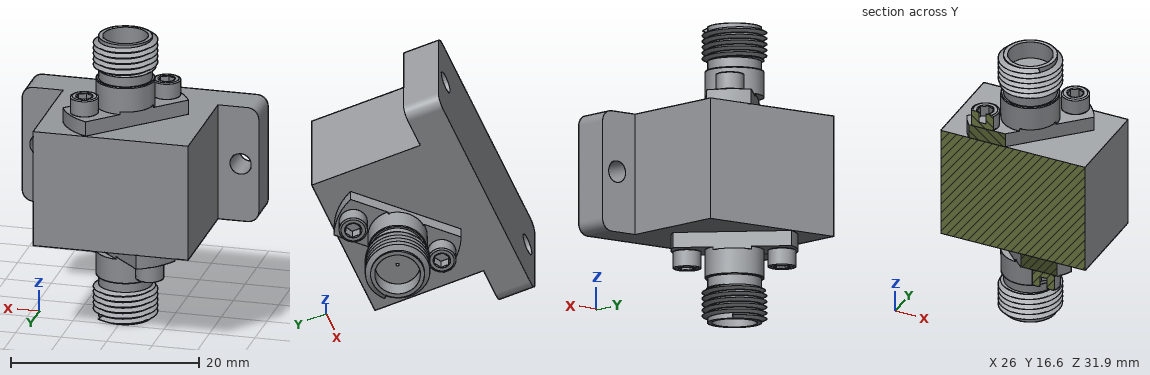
import cadquery as cq
import math

plate_width = 26.0
plate_thickness = 4.02
body_height = 13.0
corner_radius = 1.25
block_width = 17.05
body_depth = 16.6
block_depth = body_depth - plate_thickness
mount_hole_diameter = 2.33
mount_hole_spacing = 22.0

total_height = 31.9
flange_width = 4.8
flange_end_radius = 6.75
flange_thickness = 1.63
flange_angle = 45.0
collar_radius = 3.15
collar_height = 3.05
collar_flat_height = 0.3
collar_chamfer = 0.1
barrel_radius = 2.87
bore_radius = 2.42
bore_depth = 2.0
contact_hole_radius = 0.15
contact_hole_depth = 0.95

flange_bottom = body_height / 2
flange_top = flange_bottom + flange_thickness
collar_top = flange_top + collar_height
barrel_top = total_height / 2

crest_radius = 3.45
thread_turns = 6
thread_helix_height = 3.75
thread_pitch = thread_helix_height / thread_turns
thread_zone_length = 3.7
thread_runout_length = 0.32
thread_top_gap = 0.25
thread_end_angle = 313.0
thread_start_angle = thread_end_angle - 360 * thread_turns
thread_root_half = 0.48 * thread_pitch
thread_embed = 0.03
thread_zone_radius = crest_radius + 0.03

screw_spacing = 10.15
screw_head_radius = 1.5
screw_head_height = 1.9
screw_chamfer_height = 0.2
screw_chamfer_width = 0.1
socket_across_flats = 1.55
socket_sides = 6
socket_half_side_angle = 180 / socket_sides
socket_across_corners = socket_across_flats / math.cos(math.radians(socket_half_side_angle))
socket_depth = 1.28
countersink_radius = 0.93
countersink_half_angle = 60.0


def make_body():
    """Mounting plate with rounded corners, its two through holes and the block behind it."""
    plate_front = -plate_thickness - block_depth / 2
    plate = (
        cq.Workplane("XY")
        .box(plate_width, plate_thickness, body_height, centered=(True, False, True))
        .edges("|Y")
        .fillet(corner_radius)
        .faces("<Y")
        .workplane(centerOption="CenterOfBoundBox")
        .pushPoints([(-mount_hole_spacing / 2, 0), (mount_hole_spacing / 2, 0)])
        .hole(mount_hole_diameter)
        .translate((0, plate_front, 0))
    )
    block = cq.Workplane("XY").box(block_width, block_depth, body_height)
    return plate.union(block)


def make_flange():
    """Flange strip with straight sides and ends rounded about the connector axis."""
    half_width = flange_width / 2
    half_length = math.sqrt(flange_end_radius**2 - half_width**2)
    return (
        cq.Workplane("XY")
        .workplane(offset=flange_bottom)
        .moveTo(-half_length, -half_width)
        .lineTo(half_length, -half_width)
        .threePointArc((flange_end_radius, 0), (half_length, half_width))
        .lineTo(-half_length, half_width)
        .threePointArc((-flange_end_radius, 0), (-half_length, -half_width))
        .close()
        .extrude(flange_thickness)
    )


def make_collar():
    """Round collar with a chamfered top rim and flats at its foot, flush with the flange sides."""
    flat_foot = (
        cq.Workplane("XY")
        .workplane(offset=flange_top)
        .circle(collar_radius)
        .extrude(collar_flat_height)
        .intersect(cq.Workplane("XY").box(2 * collar_radius, flange_width, total_height))
    )
    round_part = (
        cq.Workplane("XY")
        .workplane(offset=flange_top + collar_flat_height)
        .circle(collar_radius)
        .extrude(collar_height - collar_flat_height)
        .faces(">Z")
        .chamfer(collar_chamfer)
    )
    return flat_foot.union(round_part)


def make_thread():
    """V-profile ridge swept along a helix, trimmed flat at the top and to a cone at the bottom."""
    ridge_base = barrel_radius - thread_embed
    helix = cq.Wire.makeHelix(thread_pitch, thread_helix_height, barrel_radius)
    ridge = (
        cq.Workplane("XZ")
        .polyline(
            [
                (ridge_base, -thread_root_half),
                (crest_radius, 0),
                (ridge_base, thread_root_half),
            ]
        )
        .close()
        .sweep(cq.Workplane(helix), isFrenet=True)
        .rotate((0, 0, 0), (0, 0, 1), thread_start_angle)
        .translate((0, 0, barrel_top - thread_top_gap - thread_helix_height))
    )
    thread_zone = (
        cq.Workplane("XY")
        .workplane(offset=barrel_top - thread_zone_length)
        .circle(thread_zone_radius)
        .extrude(thread_zone_length)
        .faces("<Z")
        .chamfer(thread_runout_length, thread_zone_radius - barrel_radius)
    )
    return ridge.intersect(thread_zone)


def make_connector():
    """Upper connector: flange, collar and threaded barrel with a bore and a contact hole."""
    barrel = (
        cq.Workplane("XY")
        .workplane(offset=collar_top)
        .circle(barrel_radius)
        .extrude(barrel_top - collar_top)
    )
    bore_floor = barrel_top - bore_depth
    bore = cq.Workplane("XY").workplane(offset=bore_floor).circle(bore_radius).extrude(bore_depth)
    contact_hole = (
        cq.Workplane("XY")
        .workplane(offset=bore_floor)
        .circle(contact_hole_radius)
        .extrude(-contact_hole_depth)
    )
    return (
        make_flange()
        .union(make_collar())
        .rotate((0, 0, 0), (0, 0, 1), flange_angle)
        .union(barrel)
        .union(make_thread())
        .cut(bore)
        .cut(contact_hole)
    )


def make_screw(x, y):
    """Socket head resting on the upper flange, with both rims chamfered and a countersunk hex socket."""
    socket = (
        cq.Workplane("XY")
        .workplane(offset=screw_head_height - socket_depth)
        .transformed(rotate=(0, 0, socket_half_side_angle))
        .polygon(socket_sides, socket_across_corners)
        .extrude(socket_depth)
    )
    countersink_tip = countersink_radius / math.tan(math.radians(countersink_half_angle))
    countersink = (
        cq.Workplane("XZ")
        .moveTo(0, screw_head_height)
        .lineTo(countersink_radius, screw_head_height)
        .lineTo(0, screw_head_height - countersink_tip)
        .close()
        .revolve()
    )
    return (
        cq.Workplane("XY")
        .circle(screw_head_radius)
        .extrude(screw_head_height)
        .faces("<Z or >Z")
        .chamfer(screw_chamfer_width, screw_chamfer_height)
        .cut(socket)
        .cut(countersink)
        .translate((x, y, flange_top))
    )


def turned_over(solid):
    """Copy turned half a turn about the X axis, from the upper to the lower side of the body."""
    return solid.rotate((0, 0, 0), (1, 0, 0), 180)


body = make_body()

upper_connector = make_connector()
connectors = [upper_connector, turned_over(upper_connector)]

screws = []
for side in (-1, 1):
    screw_x = side * screw_spacing / 2 * math.cos(math.radians(flange_angle))
    screw_y = side * screw_spacing / 2 * math.sin(math.radians(flange_angle))
    upper_screw = make_screw(screw_x, screw_y)
    screws.append(upper_screw)
    screws.append(turned_over(upper_screw))

result = cq.Compound.makeCompound([part.val() for part in [body, *connectors, *screws]])